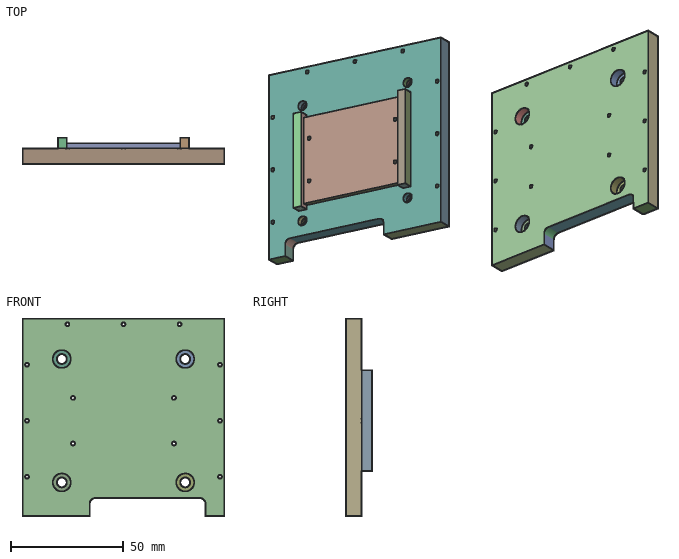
import cadquery as cq

PLATE_WIDTH = 90.0
PLATE_HEIGHT = 88.0
PLATE_THICKNESS = 7.0
FRONT_Y = 0.0
BACK_Y = FRONT_Y + PLATE_THICKNESS

PATTERN_CENTER_Z = -1.5

NOTCH_LEFT_X = -15.0
NOTCH_RIGHT_X = 36.5
NOTCH_DEPTH = 8.0
NOTCH_CORNER_RADIUS = 2.5

RAIL_LENGTH = 45.0
RAIL_WIDTH = 4.0
RAIL_GAP = 50.5
RAIL_HEIGHT = 4.75
WEB_HEIGHT = RAIL_HEIGHT / 2
WEB_END_INSET = 2.0

BOLT_SPACING = 55.0
BOLT_DIAMETER = 4.3
COUNTERBORE_DIAMETER = 8.0
COUNTERBORE_DEPTH = 4.25

SCREW_DIAMETER = 1.6
EDGE_SCREW_PITCH = 25.0
SIDE_SCREW_INSET = 2.0
TOP_SCREW_INSET = 2.5
INNER_SCREW_SPACING_X = 45.0
INNER_SCREW_SPACING_Z = 20.3


def block(x_min, x_max, y_min, y_max, z_min, z_max):
    """Box given by its limits along each axis."""
    size = (x_max - x_min, y_max - y_min, z_max - z_min)
    return cq.Workplane("XY").box(*size, centered=False).translate((x_min, y_min, z_min))


def cylinders(points, diameter, depth):
    """Cylinders along +Y that start at the front face, one at each (x, z) point."""
    front_plane = cq.Workplane("XZ", origin=(0, FRONT_Y, 0))
    return front_plane.pushPoints(points).circle(diameter / 2).extrude(-depth)


def rectangle_points(spacing_x, spacing_z):
    """Corners of a rectangle around the pattern centre."""
    return [
        (side * spacing_x / 2, PATTERN_CENTER_Z + level * spacing_z / 2)
        for side in (-1, 1)
        for level in (-1, 1)
    ]


def notched_plate():
    half_width = PLATE_WIDTH / 2
    half_height = PLATE_HEIGHT / 2
    plate = block(-half_width, half_width, FRONT_Y, BACK_Y, -half_height, half_height)
    notch_top = -half_height + NOTCH_DEPTH
    notch = block(NOTCH_LEFT_X, NOTCH_RIGHT_X, FRONT_Y, BACK_Y, -half_height, notch_top)
    notch = notch.edges("|Y and >Z").fillet(NOTCH_CORNER_RADIUS)
    return plate.cut(notch)


def back_channel():
    inner_x = RAIL_GAP / 2
    outer_x = inner_x + RAIL_WIDTH
    rail_bottom = PATTERN_CENTER_Z - RAIL_LENGTH / 2
    rail_top = PATTERN_CENTER_Z + RAIL_LENGTH / 2
    rail_back = BACK_Y + RAIL_HEIGHT
    left_rail = block(-outer_x, -inner_x, BACK_Y, rail_back, rail_bottom, rail_top)
    right_rail = block(inner_x, outer_x, BACK_Y, rail_back, rail_bottom, rail_top)
    web_bottom = rail_bottom + WEB_END_INSET
    web_top = rail_top - WEB_END_INSET
    web = block(-inner_x, inner_x, BACK_Y, BACK_Y + WEB_HEIGHT, web_bottom, web_top)
    return web.union(left_rail).union(right_rail)


def bolt_holes():
    points = rectangle_points(BOLT_SPACING, BOLT_SPACING)
    through_holes = cylinders(points, BOLT_DIAMETER, PLATE_THICKNESS)
    counterbores = cylinders(points, COUNTERBORE_DIAMETER, COUNTERBORE_DEPTH)
    return through_holes.union(counterbores)


def screw_holes():
    side_x = PLATE_WIDTH / 2 - SIDE_SCREW_INSET
    top_z = PLATE_HEIGHT / 2 - TOP_SCREW_INSET
    points = rectangle_points(INNER_SCREW_SPACING_X, INNER_SCREW_SPACING_Z)
    for step in (-1, 0, 1):
        offset = step * EDGE_SCREW_PITCH
        points.append((offset, top_z))
        points.append((-side_x, PATTERN_CENTER_Z + offset))
        points.append((side_x, PATTERN_CENTER_Z + offset))
    return cylinders(points, SCREW_DIAMETER, PLATE_THICKNESS + RAIL_HEIGHT)


result = notched_plate().union(back_channel()).cut(bolt_holes()).cut(screw_holes())